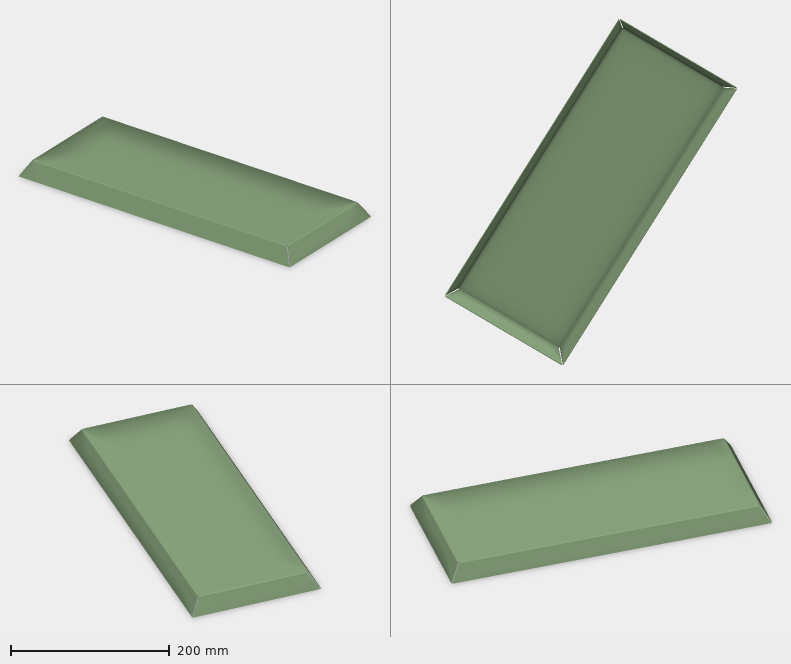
import cadquery as cq
import math

LENGTH = 425.0
WIDTH = 175.0
HEIGHT = 22.0
THICKNESS = 1.0
OUTER_RADIUS = 2.0
BEND_ANGLE = 60.0
CORNER_CLEARANCE = 1.3

sine = math.sin(math.radians(BEND_ANGLE))
cosine = math.cos(math.radians(BEND_ANGLE))
inner_radius = OUTER_RADIUS - THICKNESS

bend_run = OUTER_RADIUS * sine
bend_drop = OUTER_RADIUS * (1 - cosine)
slope_length = (HEIGHT - bend_drop - THICKNESS * cosine) / sine
flange_run = bend_run + slope_length * cosine
flat_length = LENGTH - 2 * flange_run
flat_width = WIDTH - 2 * flange_run


def make_bend(edge_length):
    """Curved strip running along X and bending down from Y = 0."""
    center_z = HEIGHT - OUTER_RADIUS
    half_angle = math.radians(BEND_ANGLE / 2)

    def arc_point(radius, angle):
        return (radius * math.sin(angle), center_z + radius * math.cos(angle))

    full_angle = 2 * half_angle
    return (
        cq.Workplane("YZ", origin=(-edge_length / 2, 0, 0))
        .moveTo(*arc_point(OUTER_RADIUS, 0))
        .threePointArc(arc_point(OUTER_RADIUS, half_angle), arc_point(OUTER_RADIUS, full_angle))
        .lineTo(*arc_point(inner_radius, full_angle))
        .threePointArc(arc_point(inner_radius, half_angle), arc_point(inner_radius, 0))
        .close()
        .extrude(edge_length)
    )


def make_slope(edge_length):
    """Sloping plate below the bend, widening towards its foot."""
    top_half = edge_length / 2
    foot_half = top_half + flange_run - CORNER_CLEARANCE
    outer_face = cq.Plane(
        origin=(0, bend_run, HEIGHT - bend_drop),
        xDir=(1, 0, 0),
        normal=(0, sine, cosine),
    )
    return (
        cq.Workplane(outer_face)
        .polyline([
            (-top_half, 0),
            (top_half, 0),
            (foot_half, slope_length),
            (-foot_half, slope_length),
        ])
        .close()
        .extrude(-THICKNESS)
    )


def make_flange(edge_length, edge_offset, turn):
    """Complete flange, moved out to its edge and turned about Z."""
    flange = make_bend(edge_length).union(make_slope(edge_length))
    return flange.translate((0, edge_offset, 0)).rotate((0, 0, 0), (0, 0, 1), turn)


flat_top = (
    cq.Workplane("XY")
    .workplane(offset=HEIGHT - THICKNESS)
    .rect(flat_length, flat_width)
    .extrude(THICKNESS)
)

result = flat_top
for turn in (0, 180):
    result = result.union(make_flange(flat_length, flat_width / 2, turn))
for turn in (90, 270):
    result = result.union(make_flange(flat_width, flat_length / 2, turn))